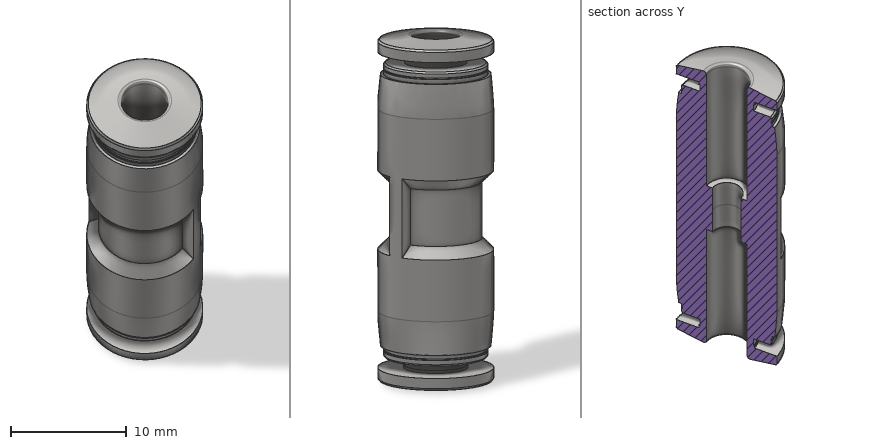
import cadquery as cq

length = 30.8
half_length = length / 2
body_radius = 10.0 / 2

button_radius = body_radius
button_crown_height = 0.43
button_rim_radius = 4.87
button_bevel_height = 0.2
button_height = 1.5
neck_top_radius = 2.77
neck_radius = 5.4 / 2
neck_step_depth = 1.75

collar_radius = 9.0 / 2
collar_depth = 2.45
collar_chamfer = 0.15
groove_depth_from_end = 3.0
groove_width = 0.12
groove_radial_depth = 0.1

shoulder_radius = 4.77
shoulder_depth = 3.48
crown_end_depth = 6.5

waist_radius = 4.0
waist_half_height = 3.48
waist_slope = body_radius - waist_radius
rib_width = 1.55

tube_radius = 4.0 / 2
bore_radius = 2.8 / 2
mouth_radius = 2.3
mouth_round = mouth_radius - tube_radius
tube_stop_height = 2.5


def crown_midpoint():
    """Half-way point of the shoulder arc, which is tangent to the straight body wall."""
    rise = crown_end_depth - shoulder_depth
    inset = body_radius - shoulder_radius
    arc_radius = (rise**2 + inset**2) / (2 * inset)
    mid_rise = rise / 2
    mid_inset = arc_radius - (arc_radius**2 - mid_rise**2) ** 0.5
    return body_radius - mid_inset, half_length - crown_end_depth + mid_rise


def upper_end():
    """Upper end above the straight body wall: shoulder, collar, neck and button."""
    button_rim_z = half_length - button_crown_height
    button_base_z = half_length - button_height
    neck_step_z = half_length - neck_step_depth
    collar_z = half_length - collar_depth
    groove_top_z = half_length - groove_depth_from_end
    groove_bottom_z = groove_top_z - groove_width
    shoulder_z = half_length - shoulder_depth
    wall_z = half_length - crown_end_depth
    return (
        cq.Workplane("XZ")
        .moveTo(0, wall_z)
        .lineTo(0, half_length)
        .lineTo(mouth_radius, half_length)
        .lineTo(button_rim_radius, button_rim_z)
        .lineTo(button_radius, button_rim_z - button_bevel_height)
        .lineTo(button_radius, button_base_z)
        .lineTo(neck_top_radius, button_base_z)
        .lineTo(neck_top_radius, neck_step_z)
        .lineTo(neck_radius, neck_step_z)
        .lineTo(neck_radius, collar_z)
        .lineTo(collar_radius - collar_chamfer, collar_z)
        .lineTo(collar_radius, collar_z - collar_chamfer)
        .lineTo(collar_radius, groove_top_z)
        .lineTo(collar_radius - groove_radial_depth, groove_top_z)
        .lineTo(collar_radius - groove_radial_depth, groove_bottom_z)
        .lineTo(collar_radius, groove_bottom_z)
        .lineTo(collar_radius, shoulder_z)
        .lineTo(shoulder_radius, shoulder_z)
        .threePointArc(crown_midpoint(), (body_radius, wall_z))
        .close()
        .revolve(360, (0, 0, 0), (0, 1, 0))
    )


def straight_body():
    """Plain cylinder between the two ends."""
    height = 2 * (half_length - crown_end_depth)
    return cq.Workplane("XY").cylinder(height, body_radius)


def waist_cutter():
    """Ring with 45-degree ends, interrupted where the two ribs remain."""
    floor_half_height = waist_half_height - waist_slope
    clearance = 0.3
    outer_radius = body_radius + clearance
    outer_half_height = waist_half_height + clearance
    ring = (
        cq.Workplane("XZ")
        .moveTo(waist_radius, -floor_half_height)
        .lineTo(waist_radius, floor_half_height)
        .lineTo(outer_radius, outer_half_height)
        .lineTo(outer_radius, -outer_half_height)
        .close()
        .revolve(360, (0, 0, 0), (0, 1, 0))
    )
    ribs = cq.Workplane("XY").box(2 * outer_radius, rib_width, 2 * outer_half_height)
    return ring.cut(ribs)


def upper_bore():
    """Upper half of the through bore, with the tube socket and its rounded mouth."""
    round_center_z = half_length - mouth_round
    mid_offset = mouth_round * 0.5**0.5
    return (
        cq.Workplane("XZ")
        .moveTo(0, 0)
        .lineTo(bore_radius, 0)
        .lineTo(bore_radius, tube_stop_height)
        .lineTo(tube_radius, tube_stop_height)
        .lineTo(tube_radius, round_center_z)
        .threePointArc(
            (mouth_radius - mid_offset, round_center_z + mid_offset),
            (mouth_radius, half_length),
        )
        .lineTo(0, half_length)
        .close()
        .revolve(360, (0, 0, 0), (0, 1, 0))
    )


def mirrored(half):
    """The given upper shape together with its reflection in the mid-plane."""
    return half.union(half.mirror("XY"))


outside = straight_body().union(mirrored(upper_end()))
result = outside.cut(waist_cutter()).cut(mirrored(upper_bore()))